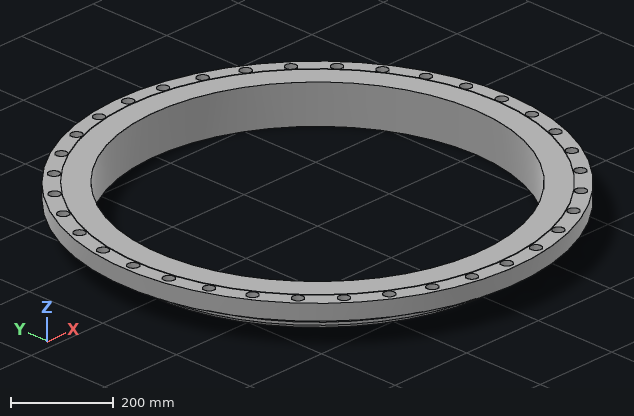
import cadquery as cq

outer_radius = 537.0
bore_radius = 441.0
total_height = 97.0

face_radius = 500.0
face_height = 1.0
flange_bottom = 57.0

neck_top_radius = 479.0
neck_end_radius = 458.0
land_top = 16.0
bevel_height = 10.0
base_radius = 449.0
root_fillet = 6.0

bolt_count = 36
bolt_circle_radius = 514.0
bolt_diameter = 26.0


def make_body():
    """Revolve the half section, with its corners in (radius, height), about Z."""
    section = [
        (bore_radius, 0),
        (base_radius, 0),
        (neck_end_radius, bevel_height),
        (neck_end_radius, land_top),
        (neck_top_radius, flange_bottom),
        (outer_radius, flange_bottom),
        (outer_radius, total_height - face_height),
        (face_radius, total_height - face_height),
        (face_radius, total_height),
        (bore_radius, total_height),
    ]
    body = cq.Workplane("XZ").polyline(section).close().revolve(360, (0, 0), (0, 1))
    corner = cq.selectors.BoxSelector(
        (-outer_radius, -outer_radius, flange_bottom - root_fillet / 2),
        (outer_radius, outer_radius, flange_bottom + root_fillet / 2),
    )
    root_edge = body.edges("%CIRCLE").edges(corner).edges(cq.selectors.RadiusNthSelector(0))
    return root_edge.fillet(root_fillet)


def make_bolt_holes():
    """Through holes for the flange, evenly spaced and starting on the X axis."""
    return (
        cq.Workplane("XY")
        .workplane(offset=flange_bottom)
        .polarArray(bolt_circle_radius, 0, 360, bolt_count)
        .circle(bolt_diameter / 2)
        .extrude(total_height - flange_bottom)
    )


result = make_body().cut(make_bolt_holes())